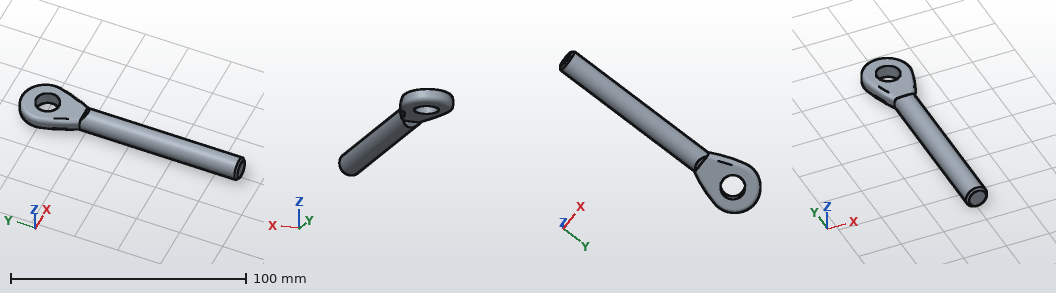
import cadquery as cq
import math

total_length = 102.0
rod_diameter = 10.0
rod_radius = rod_diameter / 2
end_chamfer = 1.0

eye_width = 22.0
eye_radius = eye_width / 2
eye_thickness = 6.0
edge_fillet = 1.9
hole_diameter = 10.5
hole_from_tip = 12.0
shoulder_from_tip = 29.0
cheek_angle = math.radians(12.5)

tip_y = total_length / 2
rod_end_y = -tip_y
eye_center_y = tip_y - eye_radius
hole_y = tip_y - hole_from_tip
shoulder_y = tip_y - shoulder_from_tip


def make_rod():
    """Round rod with a chamfered free end and two sloped flats at the eye."""
    length = shoulder_y - rod_end_y
    rod = (
        cq.Workplane("XZ", origin=(0, shoulder_y, 0))
        .circle(rod_radius)
        .extrude(length)
        .faces("<Y")
        .chamfer(end_chamfer)
    )
    half_eye = eye_thickness / 2
    slope_run = rod_radius - half_eye
    side_outline = (
        cq.Workplane("YZ")
        .moveTo(rod_end_y, -rod_radius)
        .lineTo(shoulder_y - slope_run, -rod_radius)
        .lineTo(shoulder_y, -half_eye)
        .lineTo(shoulder_y, half_eye)
        .lineTo(shoulder_y - slope_run, rod_radius)
        .lineTo(rod_end_y, rod_radius)
        .close()
        .extrude(rod_radius, both=True)
    )
    return rod.intersect(side_outline)


def make_eye():
    """Teardrop plate with rounded edges, as wide as the rod at its root."""
    diagonal = math.sqrt(0.5) * eye_radius
    round_end_middle = (diagonal, eye_center_y + diagonal)
    cheek_end = (
        eye_radius * math.cos(cheek_angle),
        eye_center_y - eye_radius * math.sin(cheek_angle),
    )
    plate = (
        cq.Workplane("XY", origin=(0, 0, -eye_thickness / 2))
        .moveTo(0, tip_y)
        .threePointArc(round_end_middle, cheek_end)
        .tangentArcPoint((rod_radius, shoulder_y), relative=False)
        .lineTo(0, shoulder_y)
        .mirrorY()
        .extrude(eye_thickness)
    )
    return plate.faces("<Z or >Z").edges("not <Y").fillet(edge_fillet)


def make_hole():
    """Cutter for the pin hole through the eye."""
    return (
        cq.Workplane("XY", origin=(0, hole_y, -eye_thickness / 2))
        .circle(hole_diameter / 2)
        .extrude(eye_thickness)
    )


result = make_rod().union(make_eye()).cut(make_hole())